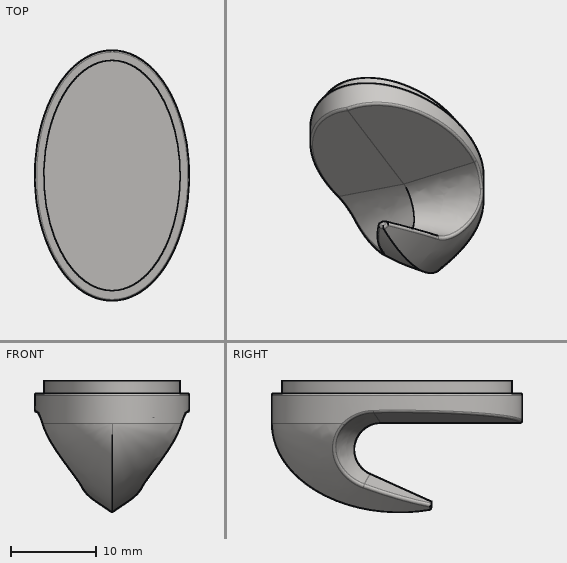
import cadquery as cq
import math

plate_half_width = 9.075
plate_half_length = 14.7
plate_height = 3.5
plate_top_round = 0.2

insert_half_width = 8.0
insert_half_length = 13.5
insert_height = 1.5

keel_depth = 10.48
keel_center_y = 0.3
keel_half_length = plate_half_length + keel_center_y
flank_power = 1.8
hook_tip_y = 4.05
section_count = 10
flank_point_count = 9

throat_center = dict(y=-1.9, z=-3.1, radius=3.1)
throat_side = dict(y=-2.8, z=-4.1, radius=5.4)
arm_slope_angle = 24.3
throat_overrun = 2.0

edge_round = 0.3
fuse_tolerance = 0.02


def keel_depth_at(y):
    """Depth of the keel below the plate's underside at one Y station."""
    return keel_depth * math.sqrt(1 - ((y - keel_center_y) / keel_half_length) ** 2)


def hook_section(y):
    """Closed section of the hook at one Y station, flat on top and pointed at the keel."""
    half_width = plate_half_width * math.sqrt(1 - (y / plate_half_length) ** 2)
    depth = keel_depth_at(y)
    flank = []
    for i in range(flank_point_count):
        fraction = i / (flank_point_count - 1)
        flank.append(cq.Vector(half_width * (1 - fraction ** flank_power), y, -depth * fraction))
    mirrored = [cq.Vector(-p.x, p.y, p.z) for p in reversed(flank)]
    return cq.Wire.assembleEdges([
        cq.Edge.makeSpline(flank),
        cq.Edge.makeSpline(mirrored),
        cq.Edge.makeLine(mirrored[-1], flank[0]),
    ])


def make_hook():
    """Smooth loft from the point at the plate's -Y end to the blunt tip."""
    last_angle = math.acos(-hook_tip_y / plate_half_length)
    sections = [cq.Vertex.makeVertex(0, -plate_half_length, 0)]
    for i in range(1, section_count + 1):
        y = -plate_half_length * math.cos(last_angle * i / section_count)
        sections.append(hook_section(y))
    return cq.occ_impl.shapes.loft(sections, cap=True)


def throat_wire(x, y, z, radius):
    """Throat outline in a plane of constant X: flat roof, round back, sloping floor."""
    slope = math.radians(arm_slope_angle)
    far_y = plate_half_length + throat_overrun
    floor_start = cq.Vector(x, y - radius * math.sin(slope), z - radius * math.cos(slope))
    floor_end = cq.Vector(x, far_y, floor_start.z - (far_y - floor_start.y) * math.tan(slope))
    middle = math.radians(180 - arm_slope_angle) / 2
    back = cq.Vector(x, y - radius * math.sin(middle), z + radius * math.cos(middle))
    roof_start = cq.Vector(x, y, z + radius)
    roof_end = cq.Vector(x, far_y, z + radius)
    return cq.Wire.assembleEdges([
        cq.Edge.makeLine(roof_end, roof_start),
        cq.Edge.makeThreePointArc(roof_start, back, floor_start),
        cq.Edge.makeLine(floor_start, floor_end),
        cq.Edge.makeLine(floor_end, roof_end),
    ])


def throat_half(side):
    """Half of the throat cutter, widening evenly from the centreline outward."""
    reach = 1.1

    def outward(key):
        return throat_center[key] + reach * (throat_side[key] - throat_center[key])

    outer = throat_wire(side * reach * plate_half_width, outward("y"), outward("z"), outward("radius"))
    return cq.Solid.makeLoft([throat_wire(0, **throat_center), outer], True)


def is_throat_rim(edge):
    """True for the sharp edges where the throat leaves the plate wall and the hook flanks."""
    middle = edge.positionAt(0.5)
    on_plate_underside = abs(middle.z) < fuse_tolerance
    on_tip = abs(middle.y - hook_tip_y) < fuse_tolerance
    if on_plate_underside or on_tip or middle.z > throat_center["radius"]:
        return False
    ends = (edge.startPoint(), edge.endPoint())
    off_center = all(abs(end.x) > fuse_tolerance for end in ends)
    from_plate_end = any(end.y > plate_half_length - fuse_tolerance for end in ends)
    return off_center or (from_plate_end and abs(middle.x) > fuse_tolerance)


def is_tip_flank(edge):
    """True for the two edges of the blunt tip that run down the flanks to the keel."""
    on_tip = abs(edge.positionAt(0.5).y - hook_tip_y) < fuse_tolerance
    lowest = min(edge.startPoint().z, edge.endPoint().z)
    return on_tip and lowest < fuse_tolerance - keel_depth_at(hook_tip_y)


def make_clip():
    plate = cq.Workplane("XY").ellipse(plate_half_width, plate_half_length).extrude(plate_height)
    plate = plate.faces(">Z").edges().fillet(plate_top_round)
    body = plate.union(cq.Workplane(obj=make_hook()), tol=fuse_tolerance)
    for side in (-1, 1):
        body = body.cut(cq.Workplane(obj=throat_half(side)))
    rounded = [edge for edge in body.edges().vals() if is_throat_rim(edge) or is_tip_flank(edge)]
    return body.newObject(rounded).fillet(edge_round)


def make_insert():
    base = cq.Workplane("XY").workplane(offset=plate_height)
    return base.ellipse(insert_half_width, insert_half_length).extrude(insert_height)


clip = make_clip()
insert = make_insert()
result = cq.Compound.makeCompound([clip.val(), insert.val()])